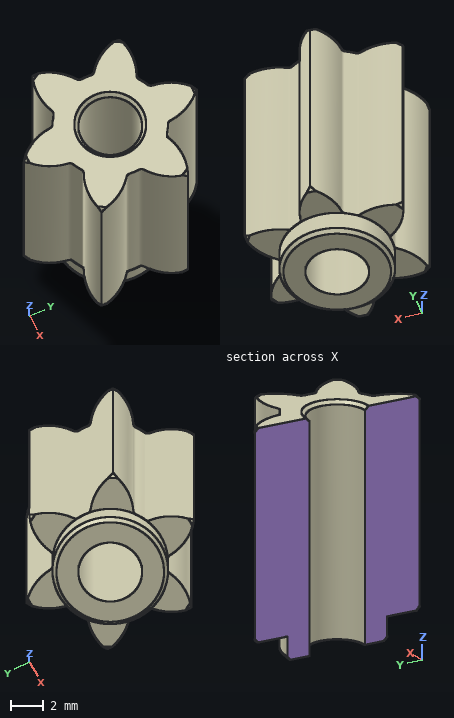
import cadquery as cq
import math

TOTAL_HEIGHT = 15.88
HUB_HEIGHT = 1.59
HUB_RADIUS = 3.6
BORE_RADIUS = 1.98
EDGE_CHAMFER = 0.25
CHAMFER_ANGLE = 45.0

TOOTH_COUNT = 6
TIP_DIAMETER = 11.86
FLANK_MID = (0.84, 4.99)
FLANK_FOOT = (1.35, 3.24)
ROOT_RADIUS = 3.59
ROOT_FILLET = 0.32

BODY_HEIGHT = TOTAL_HEIGHT - HUB_HEIGHT
TIP_RADIUS = TIP_DIAMETER / 2
TOOTH_PITCH = 360.0 / TOOTH_COUNT
ROOT_ZONE = (ROOT_RADIUS + TIP_RADIUS * math.cos(math.radians(TOOTH_PITCH / 2))) / 2


def make_tooth():
    """One pointed tooth along +Y: two mirrored arc flanks closed through the axis."""
    mid_x, mid_y = FLANK_MID
    foot_x, foot_y = FLANK_FOOT
    return (
        cq.Workplane("XY", origin=(0, 0, HUB_HEIGHT))
        .moveTo(0, 0)
        .lineTo(foot_x, foot_y)
        .threePointArc((mid_x, mid_y), (0, TIP_RADIUS))
        .threePointArc((-mid_x, mid_y), (-foot_x, foot_y))
        .close()
        .extrude(BODY_HEIGHT)
    )


def make_tip_envelope():
    """Turned blank of the toothed body, with both outer rims chamfered."""
    return (
        cq.Workplane("XY", origin=(0, 0, HUB_HEIGHT))
        .circle(TIP_RADIUS)
        .extrude(BODY_HEIGHT)
        .edges()
        .chamfer(EDGE_CHAMFER)
    )


def make_toothed_body():
    """Root cylinder with the ring of teeth, filleted at the roots and trimmed at the tips."""
    body = (
        cq.Workplane("XY", origin=(0, 0, HUB_HEIGHT))
        .circle(ROOT_RADIUS)
        .extrude(BODY_HEIGHT)
        .rotate((0, 0, 0), (0, 0, 1), TOOTH_PITCH / 2)
    )
    tooth = make_tooth()
    for index in range(TOOTH_COUNT):
        body = body.union(tooth.rotate((0, 0, 0), (0, 0, 1), index * TOOTH_PITCH))

    root_zone = cq.selectors.BoxSelector(
        (-ROOT_ZONE, -ROOT_ZONE, 0),
        (ROOT_ZONE, ROOT_ZONE, TOTAL_HEIGHT),
    )
    body = body.edges("|Z").edges(root_zone).fillet(ROOT_FILLET)
    return body.intersect(make_tip_envelope())


def make_hub():
    """Round hub under the teeth, chamfered at its lower rim."""
    hub = cq.Workplane("XY").circle(HUB_RADIUS).extrude(HUB_HEIGHT)
    return hub.faces("<Z").edges().chamfer(EDGE_CHAMFER)


def make_bore():
    """Through bore, with a chamfered mouth at the top."""
    mouth = (
        cq.Workplane("XY", origin=(0, 0, TOTAL_HEIGHT))
        .circle(BORE_RADIUS + EDGE_CHAMFER)
        .extrude(-EDGE_CHAMFER, taper=CHAMFER_ANGLE)
    )
    return cq.Workplane("XY").circle(BORE_RADIUS).extrude(TOTAL_HEIGHT).union(mouth)


result = make_toothed_body().union(make_hub()).cut(make_bore())